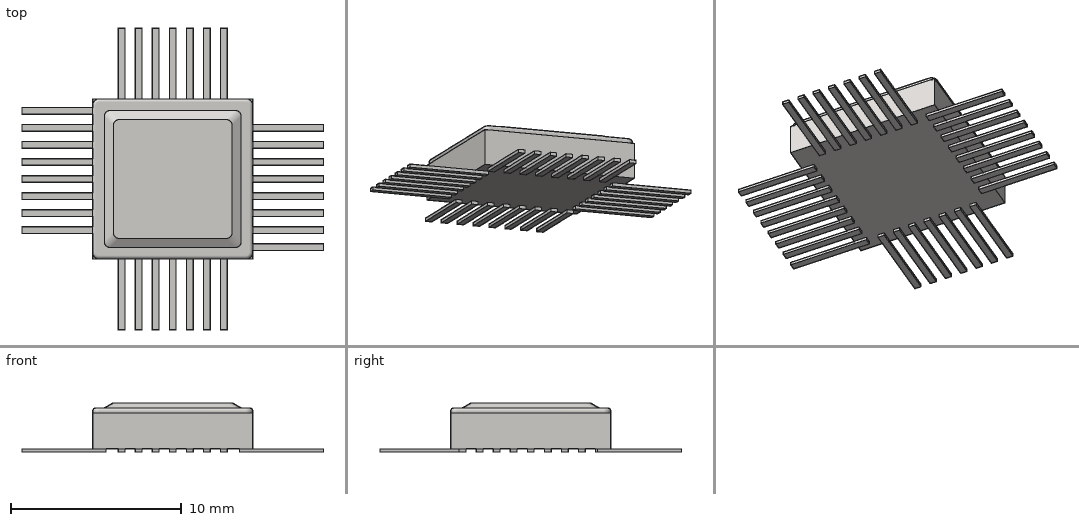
import cadquery as cq

overall_span = 17.68
overall_height = 2.9

lead_thickness = 0.2
lead_width = 0.4
lead_inner_end = 3.9
leads_per_y_side = 7
leads_per_x_side = 8
seven_lead_span = 6.0
lead_pitch = seven_lead_span / (leads_per_y_side - 1)

base_side = 9.4
lid_flange_thickness = 0.3
lid_corner_radius = 0.4
lid_edge_fillet = 0.2
dome_height = 0.3
dome_foot_side = 8.03
dome_top_side = 6.97
dome_corner_radius = 0.34

base_bottom_z = lead_thickness
dome_foot_z = overall_height - dome_height
base_top_z = dome_foot_z - lid_flange_thickness

lead_length = overall_span / 2 - lead_inner_end
lead_centre_radius = (overall_span / 2 + lead_inner_end) / 2
x_row_shift = lead_pitch / 2


def row_positions(count):
    """Lead centre lines along a row, symmetric about zero."""
    return [(i - (count - 1) / 2) * lead_pitch for i in range(count)]


def lead(x, y, size_x, size_y):
    """One flat lead centred at (x, y)."""
    return cq.Workplane("XY").center(x, y).rect(size_x, size_y).extrude(lead_thickness)


def make_base():
    """Square base block with its four rows of leads fused to the underside."""
    base = (
        cq.Workplane("XY", origin=(0, 0, base_bottom_z))
        .rect(base_side, base_side)
        .extrude(base_top_z - base_bottom_z)
    )
    for side in (-1, 1):
        for x in row_positions(leads_per_y_side):
            base = base.union(lead(x, side * lead_centre_radius, lead_width, lead_length))
        for y in row_positions(leads_per_x_side):
            base = base.union(lead(side * lead_centre_radius, y - side * x_row_shift, lead_length, lead_width))
    return base


def rounded_square(side):
    """Dome outline: the corner radius is the same at the foot and at the top."""
    return cq.Sketch().rect(side, side).vertices().fillet(dome_corner_radius)


def make_lid():
    """Flat lid with rounded corners, a rounded upper rim and a raised tapered dome."""
    flange = (
        cq.Workplane("XY", origin=(0, 0, base_top_z))
        .rect(base_side, base_side)
        .extrude(lid_flange_thickness)
        .edges("|Z")
        .fillet(lid_corner_radius)
        .faces(">Z")
        .edges()
        .fillet(lid_edge_fillet)
    )
    dome = (
        cq.Workplane("XY", origin=(0, 0, dome_foot_z))
        .placeSketch(
            rounded_square(dome_foot_side),
            rounded_square(dome_top_side).moved(cq.Location(cq.Vector(0, 0, dome_height))),
        )
        .loft(ruled=True)
    )
    return flange.union(dome)


base = make_base()
lid = make_lid()

result = cq.Compound.makeCompound([base.val(), lid.val()])